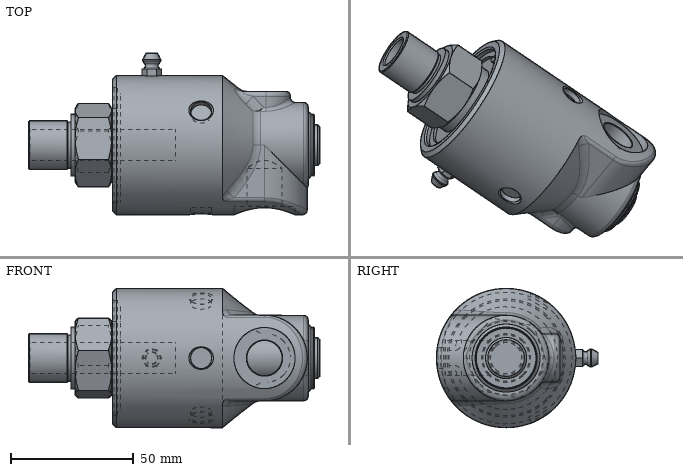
import cadquery as cq
import math


TOTAL_LENGTH = 119.0

THREAD_DIA = 20.0
THREAD_END_X = 15.6
THREAD_CHAMFER = 0.4
RELIEF_DIA = 19.0
COLLAR_START_X = 17.2
COLLAR_DIA = 25.4
HEX_START_X = 19.0
HEX_END_X = 33.9
HEX_FLATS = 30.1
HEX_TURN = 10.3
HEX_CHAMFER_ANGLE = 30.0
BORE_DIA = 12.7
BORE_MOUTH_DIA = 13.89
BORE_END_X = 60.0

BODY_START_X = 34.2
BODY_DIA = 57.0
BODY_CHAMFER = 1.6
CONE_START_X = 79.2
CONE_ANGLE = 38.5
CONE_FILLET = 5.0
TUBE_DIA = 35.0
TUBE_END_X = 114.3
TUBE_FILLET = 2.0

RECESS_DIA = 47.07
RECESS_MOUTH_DIA = 48.4
RECESS_DEPTH = 3.4
RING_FRONT_DEPTH = 2.2
RING_INNER_DIA = 42.0
RING_GAP = 6.0
LUG_RADIUS = 3.2
LUG_HOLE_DIA = 2.36
LUG_HOLE_Y = -21.4
LUG_HOLE_Z = 6.2

PORT_X = 96.4
EAR_RADIUS = TUBE_DIA / 2
EAR_EDGE_FILLET = 2.0
PORT_DIA = 14.4
PORT_MOUTH_DIA = 14.8
SPOTFACE_DIA = 25.0
SPOTFACE_Y = -25.0
SHAFT_DIA = 19.0
BOSS_DIA = 19.79
BOSS_X = 97.1
BOSS_TOP_Y = 22.0
BOSS_TOP_FILLET = 2.0
BOSS_ROOT_FILLET = 2.0

DRAIN_X = 70.5
DRAIN_COUNT = 3
DRAIN_DIA = 8.6
DRAIN_MOUTH_DIA = 10.0
DRAIN_DEPTH = 3.0

PLUG_COLLAR_DIA = 27.8
PLUG_DIA = 25.4
PLUG_GROOVE_DIA = 24.89
PLUG_FACE_DIA = 24.4
PLUG_GROOVE_START_X = 115.5
PLUG_GROOVE_END_X = 116.2
PLUG_FACE_X = 116.9
PLUG_TIP_DIA = 16.8
PLUG_TIP_CHAMFER = 0.9

NIPPLE_X = 50.3
NIPPLE_FLATS = 7.0
NIPPLE_HEX_TOP = 31.2
NIPPLE_SHOULDER_TOP = 31.7
NIPPLE_HEAD_BOTTOM = 33.3
NIPPLE_HEAD_RIM = 34.4
NIPPLE_HEAD_TOP = 35.0
NIPPLE_TIP = 37.6
NIPPLE_SHOULDER_RADIUS = 3.4
NIPPLE_NECK_RADIUS = 3.0
NIPPLE_WAIST_RADIUS = 2.6
NIPPLE_HEAD_RADIUS = 3.7
NIPPLE_TIP_RADIUS = 2.35
NIPPLE_SINK = 1.0

EDGE_MARGIN = 0.1

BODY_RADIUS = BODY_DIA / 2
TUBE_RADIUS = TUBE_DIA / 2
BOSS_RADIUS = BOSS_DIA / 2
CONE_END_X = CONE_START_X + (BODY_RADIUS - TUBE_RADIUS) / math.tan(math.radians(CONE_ANGLE))


def x_cylinder(diameter, start, end):
    """Cylinder on the main axis between two X positions."""
    return cq.Workplane("YZ").workplane(offset=start).circle(diameter / 2).extrude(end - start)


def revolve_on_x(profile):
    """Solid turned about the main axis from a half profile in the XY plane."""
    return profile.close().revolve(360, (0, 0, 0), (1, 0, 0))


def round_ended_bar(radius, end_x, y_start, y_end):
    """Bar running along Y, from inside the cone to a half-round end centred at end_x."""
    return (
        cq.Workplane("XZ", origin=(0, y_start, 0))
        .moveTo(CONE_START_X, -radius)
        .lineTo(end_x, -radius)
        .threePointArc((end_x + radius, 0), (end_x, radius))
        .lineTo(CONE_START_X, radius)
        .close()
        .extrude(y_start - y_end)
    )


def housing_core():
    """Round housing narrowing through a cone to the rear tube."""
    return revolve_on_x(
        cq.Workplane("XY")
        .moveTo(BODY_START_X, 0)
        .lineTo(BODY_START_X, BODY_RADIUS - BODY_CHAMFER)
        .lineTo(BODY_START_X + BODY_CHAMFER, BODY_RADIUS)
        .lineTo(CONE_START_X, BODY_RADIUS)
        .lineTo(CONE_END_X, TUBE_RADIUS)
        .lineTo(TUBE_END_X, TUBE_RADIUS)
        .lineTo(TUBE_END_X, 0)
    )


def is_ear_rim(edge):
    """Edge where the sides and the round end of the ear meet the housing diameter."""
    box = edge.BoundingBox()
    return box.ymax < -TUBE_RADIUS and box.xmax - box.xmin > EDGE_MARGIN


def is_cone_root(edge):
    """Concave edge where the cone meets the tube, the ear or the boss."""
    box = edge.BoundingBox()
    on_cone = box.xmin > CONE_START_X - EDGE_MARGIN and box.xmax < CONE_END_X + EDGE_MARGIN
    inside_rim = max(abs(box.ymin), abs(box.ymax)) < BODY_RADIUS - EDGE_MARGIN
    return on_cone and inside_rim and edge.geomType() != "LINE"


def is_boss_root(edge):
    """Concave edge where the boss meets the tube."""
    box = edge.BoundingBox()
    is_seam = max(abs(box.zmin), abs(box.zmax)) < EDGE_MARGIN
    on_tube = BOSS_RADIUS < box.ymin and box.ymax < TUBE_RADIUS + EDGE_MARGIN
    return on_tube and box.xmax < TUBE_END_X and box.xmax - box.xmin > EDGE_MARGIN and not is_seam


def fillet_where(body, test, radius):
    """Round every edge of the body that passes the test."""
    chosen = [edge for edge in body.edges().vals() if test(edge)]
    return body.newObject(chosen).fillet(radius)


def housing():
    """Housing with the ear and the boss blended on."""
    envelope = x_cylinder(BODY_DIA, BODY_START_X, TOTAL_LENGTH)
    ear = round_ended_bar(EAR_RADIUS, PORT_X, 0, -BODY_DIA).intersect(envelope)
    ear = fillet_where(ear, is_ear_rim, EAR_EDGE_FILLET)
    boss = round_ended_bar(BOSS_RADIUS, BOSS_X, BOSS_TOP_Y, 0).faces(">Y").edges(">X").fillet(BOSS_TOP_FILLET)
    body = fillet_where(housing_core().union(ear).union(boss), is_cone_root, CONE_FILLET)
    tube = x_cylinder(TUBE_DIA, CONE_START_X, TUBE_END_X)
    body = body.union(fillet_where(tube.union(boss), is_boss_root, BOSS_ROOT_FILLET))
    return body.faces(">X").edges().fillet(TUBE_FILLET)


def front_recess():
    """Cutter for the recess in the front face, with its bevelled mouth."""
    bevel = (RECESS_MOUTH_DIA - RECESS_DIA) / 2
    floor_x = BODY_START_X + RECESS_DEPTH
    return revolve_on_x(
        cq.Workplane("XY")
        .moveTo(BODY_START_X, 0)
        .lineTo(BODY_START_X, RECESS_MOUTH_DIA / 2)
        .lineTo(BODY_START_X + bevel, RECESS_DIA / 2)
        .lineTo(floor_x, RECESS_DIA / 2)
        .lineTo(floor_x, 0)
    )


def drain_holes():
    """Cutter for the blind holes spaced evenly around the housing, the first one toward -Y."""
    bevel = (DRAIN_MOUTH_DIA - DRAIN_DIA) / 2
    hole = (
        cq.Workplane("XZ", origin=(DRAIN_X, -BODY_RADIUS + DRAIN_DEPTH, 0))
        .circle(DRAIN_DIA / 2)
        .extrude(DRAIN_DEPTH)
    )
    mouth = (
        cq.Workplane("XZ", origin=(DRAIN_X, -BODY_RADIUS + bevel, 0))
        .circle(DRAIN_DIA / 2)
        .workplane(offset=bevel)
        .circle(DRAIN_MOUTH_DIA / 2)
        .loft()
    )
    first = hole.union(mouth)
    holes = first
    for index in range(1, DRAIN_COUNT):
        holes = holes.union(first.rotate((0, 0, 0), (1, 0, 0), index * 360 / DRAIN_COUNT))
    return holes


def side_port():
    """Cutter for the port and its spotface, stopping on the shaft inside the housing."""
    bevel = (PORT_MOUTH_DIA - PORT_DIA) / 2
    spotface = (
        cq.Workplane("XZ", origin=(PORT_X, SPOTFACE_Y, 0)).circle(SPOTFACE_DIA / 2).extrude(BODY_RADIUS)
    )
    port = cq.Workplane("XZ", origin=(PORT_X, 0, 0)).circle(PORT_DIA / 2).extrude(-SPOTFACE_Y)
    mouth = (
        cq.Workplane("XZ", origin=(PORT_X, SPOTFACE_Y + bevel, 0))
        .circle(PORT_DIA / 2)
        .workplane(offset=bevel)
        .circle(PORT_MOUTH_DIA / 2)
        .loft()
    )
    shaft = x_cylinder(SHAFT_DIA, BODY_START_X, TUBE_END_X)
    return spotface.union(port).union(mouth).cut(shaft)


def spigot():
    """Threaded spigot with its relief groove and collar."""
    thread_radius = THREAD_DIA / 2
    return revolve_on_x(
        cq.Workplane("XY")
        .lineTo(0, thread_radius - THREAD_CHAMFER)
        .lineTo(THREAD_CHAMFER, thread_radius)
        .lineTo(THREAD_END_X, thread_radius)
        .lineTo(THREAD_END_X + (THREAD_DIA - RELIEF_DIA) / 2, RELIEF_DIA / 2)
        .lineTo(COLLAR_START_X, RELIEF_DIA / 2)
        .lineTo(COLLAR_START_X, COLLAR_DIA / 2)
        .lineTo(HEX_START_X, COLLAR_DIA / 2)
        .lineTo(HEX_START_X, 0)
    )


def hexagon_nut():
    """Hexagon with both ends chamfered, and the round neck joining it to the housing."""
    corner_radius = HEX_FLATS / math.sqrt(3)
    rise = math.tan(math.radians(HEX_CHAMFER_ANGLE)) * (corner_radius - HEX_FLATS / 2)
    prism = (
        cq.Workplane("YZ", origin=(HEX_START_X, 0, 0))
        .polygon(6, 2 * corner_radius)
        .extrude(HEX_END_X - HEX_START_X)
        .rotate((0, 0, 0), (1, 0, 0), -HEX_TURN)
    )
    envelope = revolve_on_x(
        cq.Workplane("XY")
        .moveTo(HEX_START_X, 0)
        .lineTo(HEX_START_X, HEX_FLATS / 2)
        .lineTo(HEX_START_X + rise, corner_radius)
        .lineTo(HEX_END_X - rise, corner_radius)
        .lineTo(HEX_END_X, HEX_FLATS / 2)
        .lineTo(HEX_END_X, 0)
    )
    neck = x_cylinder(HEX_FLATS, HEX_END_X, BODY_START_X + RECESS_DEPTH)
    return prism.intersect(envelope).union(neck)


def spigot_bore():
    """Cutter for the bevelled blind bore of the spigot."""
    bevel = (BORE_MOUTH_DIA - BORE_DIA) / 2
    return revolve_on_x(
        cq.Workplane("XY")
        .lineTo(0, BORE_MOUTH_DIA / 2)
        .lineTo(bevel, BORE_DIA / 2)
        .lineTo(BORE_END_X, BORE_DIA / 2)
        .lineTo(BORE_END_X, 0)
    )


def retaining_ring():
    """Open ring on the recess floor, with two drilled lugs beside the gap at -Y."""
    front_x = BODY_START_X + RING_FRONT_DEPTH
    floor_x = BODY_START_X + RECESS_DEPTH
    thickness = floor_x - front_x
    lug_centres = [(LUG_HOLE_Y, -LUG_HOLE_Z), (LUG_HOLE_Y, LUG_HOLE_Z)]
    plane = cq.Workplane("YZ", origin=(front_x, 0, 0))
    ring = plane.circle(RECESS_DIA / 2).circle(RING_INNER_DIA / 2).extrude(thickness)
    lugs = plane.pushPoints(lug_centres).circle(LUG_RADIUS).extrude(thickness)
    gap = plane.center(-RECESS_DIA / 2, 0).rect(RECESS_DIA / 2, RING_GAP).extrude(thickness)
    holes = plane.pushPoints(lug_centres).circle(LUG_HOLE_DIA / 2).extrude(thickness)
    bounded = ring.union(lugs).intersect(x_cylinder(RECESS_DIA, front_x, floor_x))
    return bounded.cut(gap).cut(holes)


def end_plug():
    """Stepped and grooved plug closing the rear tube."""
    face_bevel = (PLUG_DIA - PLUG_FACE_DIA) / 2
    tip_radius = PLUG_TIP_DIA / 2
    return revolve_on_x(
        cq.Workplane("XY")
        .moveTo(TUBE_END_X, 0)
        .lineTo(TUBE_END_X, PLUG_COLLAR_DIA / 2)
        .lineTo(PLUG_GROOVE_START_X, PLUG_DIA / 2)
        .lineTo(PLUG_GROOVE_START_X, PLUG_GROOVE_DIA / 2)
        .lineTo(PLUG_GROOVE_END_X, PLUG_GROOVE_DIA / 2)
        .lineTo(PLUG_GROOVE_END_X, PLUG_DIA / 2)
        .lineTo(PLUG_FACE_X - face_bevel, PLUG_DIA / 2)
        .lineTo(PLUG_FACE_X, PLUG_FACE_DIA / 2)
        .lineTo(PLUG_FACE_X, tip_radius)
        .lineTo(TOTAL_LENGTH - PLUG_TIP_CHAMFER, tip_radius)
        .lineTo(TOTAL_LENGTH, tip_radius - PLUG_TIP_CHAMFER)
        .lineTo(TOTAL_LENGTH, 0)
    )


def grease_nipple():
    """Grease nipple standing on the housing: hexagon, waisted neck and tapered head."""
    root_y = BODY_RADIUS - NIPPLE_SINK
    hexagon = (
        cq.Workplane("XZ", origin=(NIPPLE_X, NIPPLE_HEX_TOP, 0))
        .polygon(6, 2 * NIPPLE_FLATS / math.sqrt(3))
        .extrude(NIPPLE_HEX_TOP - root_y)
    )
    waist_y = (NIPPLE_SHOULDER_TOP + NIPPLE_HEAD_BOTTOM) / 2
    head = (
        cq.Workplane("XY")
        .moveTo(0, root_y)
        .lineTo(NIPPLE_NECK_RADIUS, root_y)
        .lineTo(NIPPLE_SHOULDER_RADIUS, NIPPLE_HEX_TOP)
        .lineTo(NIPPLE_NECK_RADIUS, NIPPLE_SHOULDER_TOP)
        .threePointArc((NIPPLE_WAIST_RADIUS, waist_y), (NIPPLE_NECK_RADIUS, NIPPLE_HEAD_BOTTOM))
        .lineTo(NIPPLE_HEAD_RADIUS, NIPPLE_HEAD_RIM)
        .lineTo(NIPPLE_HEAD_RADIUS, NIPPLE_HEAD_TOP)
        .lineTo(NIPPLE_TIP_RADIUS, NIPPLE_TIP)
        .lineTo(0, NIPPLE_TIP)
        .close()
        .revolve(360, (0, 0, 0), (0, 1, 0))
        .translate((NIPPLE_X, 0, 0))
    )
    return hexagon.union(head)


body = housing().cut(front_recess()).cut(drain_holes()).cut(side_port())
body = body.union(retaining_ring()).union(hexagon_nut()).union(spigot()).cut(spigot_bore())
result = body.union(end_plug()).union(grease_nipple())